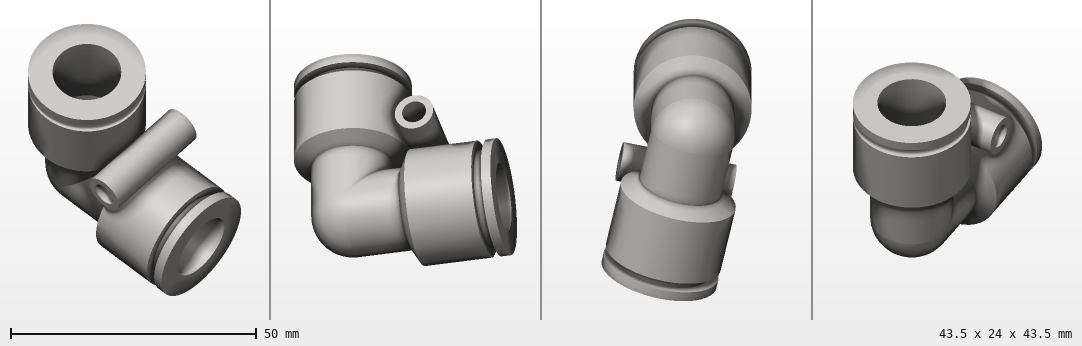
import cadquery as cq

overall = 43.5
collar_diameter = 24.0
groove_diameter = 20.0
elbow_diameter = 17.0
flange_thickness = 2.0
groove_width = 2.0
body_length = 14.0
shoulder_length = 2.0

socket_diameter = 14.0
bore_diameter = 11.0

eyelet_offset = 15.5
eyelet_diameter = 8.0
eyelet_hole_diameter = 5.0
eyelet_length = 23.5

collar_radius = collar_diameter / 2
groove_radius = groove_diameter / 2
elbow_radius = elbow_diameter / 2
socket_radius = socket_diameter / 2
bore_radius = bore_diameter / 2

port_face = overall - collar_radius
groove_top = port_face - flange_thickness
groove_bottom = groove_top - groove_width
shoulder_top = groove_bottom - body_length
shoulder_bottom = shoulder_top - shoulder_length

shoulder_slope = shoulder_length / (collar_radius - elbow_radius)
taper_top = shoulder_top
taper_bottom = taper_top - shoulder_slope * (socket_radius - bore_radius)


def revolve_about_z(profile):
    """Revolve a closed (radius, height) outline about the Z axis."""
    return cq.Workplane("XZ").polyline(profile).close().revolve(360, (0, 0), (0, 1))


def turn_to_x(arm):
    """Swing an upright arm so that it points along +X."""
    return arm.rotate((0, 0, 0), (0, 1, 0), 90)


def both_arms(arm, corner_radius):
    """Join an upright arm and its +X copy with a ball at the corner."""
    return arm.union(turn_to_x(arm)).union(cq.Workplane("XY").sphere(corner_radius))


outer_arm = revolve_about_z([
    (0, 0),
    (elbow_radius, 0),
    (elbow_radius, shoulder_bottom),
    (collar_radius, shoulder_top),
    (collar_radius, groove_bottom),
    (groove_radius, groove_bottom),
    (groove_radius, groove_top),
    (collar_radius, groove_top),
    (collar_radius, port_face),
    (0, port_face),
])

inner_arm = revolve_about_z([
    (0, 0),
    (bore_radius, 0),
    (bore_radius, taper_bottom),
    (socket_radius, taper_top),
    (socket_radius, port_face),
    (0, port_face),
])

eyelet = (
    cq.Workplane("XZ")
    .center(eyelet_offset, eyelet_offset)
    .circle(eyelet_diameter / 2)
    .extrude(eyelet_length / 2, both=True)
)
eyelet_hole = (
    cq.Workplane("XZ")
    .center(eyelet_offset, eyelet_offset)
    .circle(eyelet_hole_diameter / 2)
    .extrude(eyelet_length, both=True)
)

body = both_arms(outer_arm, elbow_radius).union(eyelet)
result = body.cut(both_arms(inner_arm, bore_radius)).cut(eyelet_hole)